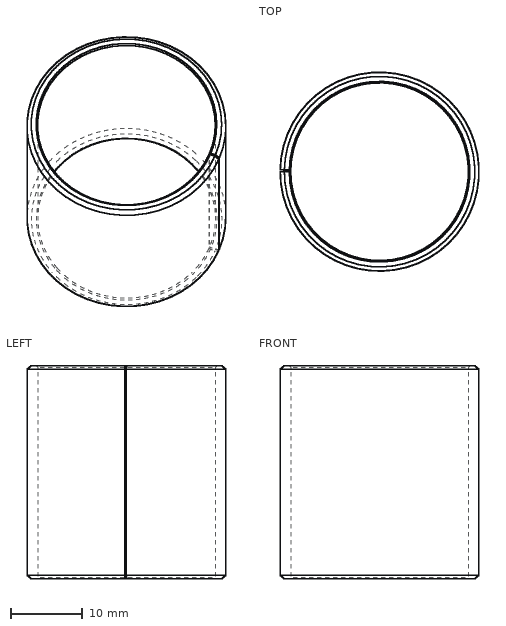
import cadquery as cq

height = 30.0
outer_diameter = 28.0
wall = 1.5
outer_radius = outer_diameter / 2
inner_radius = outer_radius - wall

chamfer_radial = 0.6
chamfer_axial = 0.5

inner_chamfer = 0.2

slit_angle = 1.0


def wall_profile():
    """Section of the sleeve wall on the -X side, in the XZ plane."""
    return (
        cq.Workplane("XZ")
        .moveTo(-inner_radius - inner_chamfer, 0)
        .lineTo(-outer_radius + chamfer_radial, 0)
        .lineTo(-outer_radius, chamfer_axial)
        .lineTo(-outer_radius, height - chamfer_axial)
        .lineTo(-outer_radius + chamfer_radial, height)
        .lineTo(-inner_radius - inner_chamfer, height)
        .lineTo(-inner_radius, height - inner_chamfer)
        .lineTo(-inner_radius, inner_chamfer)
        .close()
    )


axis_start = (0, 0)
axis_end = (0, 1)
result = wall_profile().revolve(360 - slit_angle, axis_start, axis_end)